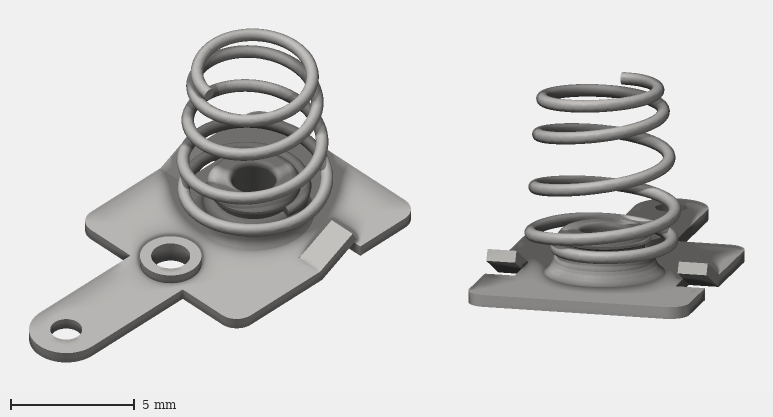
import cadquery as cq
import math

plate_width = 9.2
plate_thickness = 0.5
plate_back = 4.86
plate_front = -5.5
corner_radius = 0.82

tail_width = 3.0
tail_end = plate_back - 16.99
tail_center = tail_end + tail_width / 2
tail_hole_diameter = 1.29

ring_center = -4.7
ring_diameter = 2.48
ring_hole_diameter = 1.58
ring_top = 0.9

notch_depth = 1.24
tab_width = 1.2
tab_length = 2.17
tab_angle = math.atan(0.5)
tab_fold = -0.65
notch_back = 1.51

hub_base_radius = 2.46
waist_bottom_radius = 2.12
waist_bottom = 0.88
waist_top_radius = 2.07
waist_top = 1.02
neck_radius = 1.63
shoulder_top = 1.45
neck_top = 1.78
flange_radius = 3.8 / 2
flange_bottom = 1.9
flange_top = 2.02
crown_radius = 1.55
hub_top = 2.31
bore_diameter = 1.78
mouth_diameter = 2.26

wire_diameter = 0.51
spring_turns = 4.73
seat_turns = 0.95
stations_per_turn = 8
seat_start_radius = 1.82
coil_bottom_radius = 2.99
coil_top_radius = 2.26
seat_start_height = 1.58
rise_start_turn = 0.5
rise_start_height = 1.77
coil_top_height = 8.02
lean = 1.0 / 37
pitch_skew = 0.87


def make_plate():
    length = plate_back - plate_front
    plate = (
        cq.Workplane("XY")
        .center(0, (plate_back + plate_front) / 2)
        .rect(plate_width, length)
        .extrude(plate_thickness)
        .edges("|Z")
        .fillet(corner_radius)
    )
    tail = (
        cq.Workplane("XY")
        .center(0, tail_center / 2)
        .rect(tail_width, -tail_center)
        .extrude(plate_thickness)
    )
    tail_round = (
        cq.Workplane("XY")
        .center(0, tail_center)
        .circle(tail_width / 2)
        .extrude(plate_thickness)
    )
    ring = cq.Workplane("XY").center(0, ring_center).circle(ring_diameter / 2).extrude(ring_top)
    return plate.union(tail).union(tail_round).union(ring)


def fold_top():
    """Y of the fold line on the upper face; the bend keeps the sheet thickness."""
    return tab_fold - plate_thickness * math.tan(tab_angle / 2)


def make_notch(side):
    outline = [
        (tab_fold, 0),
        (notch_back, 0),
        (notch_back, plate_thickness),
        (fold_top(), plate_thickness),
    ]
    return extrude_inward(outline, side, notch_depth)


def make_tab(side):
    tip_y = tab_fold + tab_length * math.cos(tab_angle)
    tip_z = tab_length * math.sin(tab_angle)
    outline = [
        (tab_fold, 0),
        (tip_y, tip_z),
        (
            tip_y - plate_thickness * math.sin(tab_angle),
            tip_z + plate_thickness * math.cos(tab_angle),
        ),
        (fold_top(), plate_thickness),
    ]
    return extrude_inward(outline, side, tab_width)


def extrude_inward(outline, side, depth):
    """Extrude a YZ outline from one side edge of the plate toward the middle."""
    edge = cq.Workplane("YZ").workplane(offset=side * plate_width / 2)
    return edge.polyline(outline).close().extrude(-side * depth)


def make_hub():
    flare_mid = (2.26, 0.66)
    shoulder_mid = (1.95, 1.3)
    crown_mid = (1.77, 2.21)
    return (
        cq.Workplane("XZ")
        .moveTo(0, 0)
        .lineTo(hub_base_radius, 0)
        .lineTo(hub_base_radius, plate_thickness)
        .threePointArc(flare_mid, (waist_bottom_radius, waist_bottom))
        .lineTo(waist_top_radius, waist_top)
        .threePointArc(shoulder_mid, (neck_radius, shoulder_top))
        .lineTo(neck_radius, neck_top)
        .lineTo(flange_radius, flange_bottom)
        .lineTo(flange_radius, flange_top)
        .threePointArc(crown_mid, (crown_radius, hub_top))
        .lineTo(0, hub_top)
        .close()
        .revolve(360, (0, 0, 0), (0, 1, 0))
    )


def make_bore():
    """Through bore with a rounded mouth, as one solid of revolution."""
    bore_radius = bore_diameter / 2
    mouth_round = mouth_diameter / 2 - bore_radius
    arc_offset = mouth_round * (1 - math.sqrt(0.5))
    return (
        cq.Workplane("XZ")
        .moveTo(0, 0)
        .lineTo(bore_radius, 0)
        .lineTo(bore_radius, hub_top - mouth_round)
        .threePointArc(
            (bore_radius + arc_offset, hub_top - arc_offset),
            (mouth_diameter / 2, hub_top),
        )
        .lineTo(0, hub_top)
        .close()
        .revolve(360, (0, 0, 0), (0, 1, 0))
    )


def coil_radius(turn):
    if turn < seat_turns:
        growth = math.sin(math.pi / 2 * turn / seat_turns)
        return seat_start_radius + (coil_bottom_radius - seat_start_radius) * growth
    progress = (turn - seat_turns) / (spring_turns - seat_turns)
    return coil_bottom_radius + (coil_top_radius - coil_bottom_radius) * progress


def coil_height(turn):
    if turn < rise_start_turn:
        progress = turn / rise_start_turn
        return seat_start_height + (rise_start_height - seat_start_height) * progress
    progress = (turn - rise_start_turn) / (spring_turns - rise_start_turn)
    rise = (1 - math.cos(math.pi * progress ** pitch_skew)) / 2
    return rise_start_height + (coil_top_height - rise_start_height) * rise


def coil_point(turn):
    """Point on the wire center line, with the spring axis leaning over."""
    angle = 2 * math.pi * turn
    x = coil_radius(turn) * math.cos(angle)
    y = coil_radius(turn) * math.sin(angle)
    height = coil_height(turn)
    shift = lean * (height - rise_start_height)
    tilt = lean * (y - x) if turn >= seat_turns else 0
    return cq.Vector(x + shift, y - shift, height + tilt)


def make_spring():
    station_count = round(spring_turns * stations_per_turn)
    points = [coil_point(spring_turns * i / station_count) for i in range(station_count + 1)]
    center_line = cq.Edge.makeSpline(points)
    start_plane = cq.Plane(origin=points[0], normal=center_line.tangentAt(0))
    path = cq.Workplane("XY").newObject([cq.Wire.assembleEdges([center_line])])
    return cq.Workplane(start_plane).circle(wire_diameter / 2).sweep(path, isFrenet=True)


body = make_plate()
for side in (-1, 1):
    body = body.cut(make_notch(side)).union(make_tab(side))

body = body.union(make_hub()).union(make_spring()).cut(make_bore())

for center_y, diameter in ((ring_center, ring_hole_diameter), (tail_center, tail_hole_diameter)):
    body = body.cut(cq.Workplane("XY").center(0, center_y).circle(diameter / 2).extrude(ring_top))

result = body